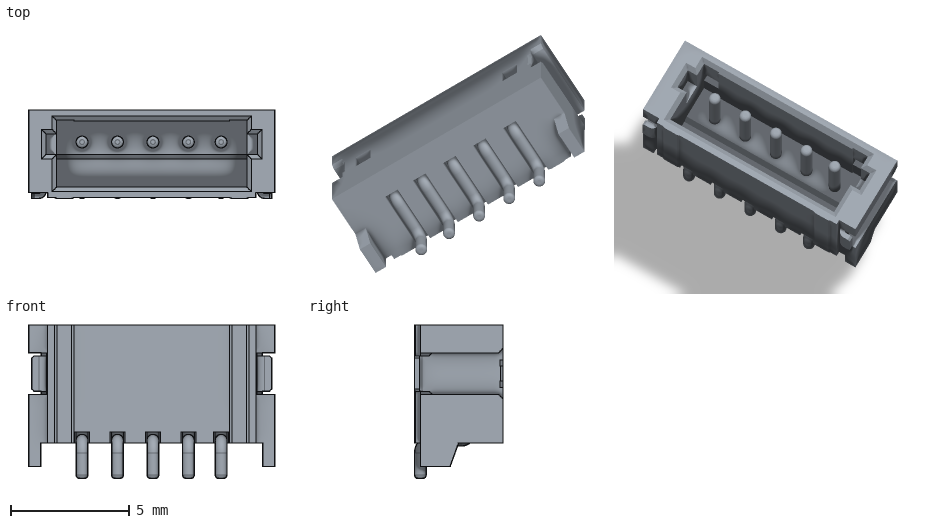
import cadquery as cq
import math


LENGTH = 10.42
HEIGHT = 5.0
WING_DEPTH = 3.5
WING_WIDTH = 0.8
FRONT_DEPTH = 3.71
PAD_DEPTH = 3.75
PAD_INSET = 1.09
PAD_WIDTH = 0.84
PAD_RAMP = 0.11

FOOT_WIDTH = 0.52
FOOT_HEIGHT = 1.0
FOOT_BACK = 1.88
FOOT_SLANT = 0.36

CAVITY_INSET = 1.19
CAVITY_BACK = 0.43
CAVITY_FRONT = 3.26
LEAD_IN = 0.2
BACK_RIM = 0.25
FLOOR = 1.0
FRONT_FLOOR = 0.8
FLOOR_STEP_DEPTH = 1.88

KEY_INSET = 0.74
KEY_BACK = 1.02
KEY_FRONT = 1.88
KEY_FLOOR = 3.1

BACK_RIB_INSET = 1.93
BACK_RIB_THICKNESS = 0.05

WINDOW_BOTTOM = 2.21
WINDOW_TOP = 3.25

BEVEL_BOTTOM = 2.36
BEVEL_TOP = 3.52
BEVEL_SIZE = 0.1
BEVEL_END_SIZE = 0.13
BEVEL_END_HEIGHT = 0.26

SLOT_BOTTOM = 2.06
SLOT_TOP = 3.82
SLOT_INSET = 0.53
SLOT_CHAMFER = 0.19
SLOT_FRONT_START = 3.0
TAB_INSET = 0.75
TAB_THICKNESS = TAB_INSET - SLOT_INSET
TAB_END = 0.13
TAB_FACE = 3.75
TAB_BEND_RADIUS = 0.32
TAB_SHOULDER = 0.13
TAB_CORNER = 0.1

PIN_COUNT = 5
PIN_PITCH = 1.5
FIRST_PIN_X = -2.95
LAST_PIN_X = 2.935
PIN_RADIUS = 0.25
PIN_DEPTH = 1.36
PIN_TOP = 4.27
TAIL_DEPTH = 3.5
TAIL_BOTTOM = -1.5
PIN_RUN_Z = 0.12
UPPER_BEND_RADIUS = 0.42
LOWER_BEND_RADIUS = 0.54
TIP_ROUND = 0.15

CHANNEL_WIDTH = 0.63
CHANNEL_HEIGHT = 0.47

HALF = LENGTH / 2
SLOT_MIDDLE = (SLOT_BOTTOM + SLOT_TOP) / 2
SLOT_HEIGHT = SLOT_TOP - SLOT_BOTTOM


def box(x_min, x_max, depth_min, depth_max, z_min, z_max):
    size = (x_max - x_min, depth_max - depth_min, z_max - z_min)
    return cq.Workplane("XY").box(*size, centered=False).translate((x_min, -depth_max, z_min))


def mirror_pair(left):
    return left.union(left.mirror("YZ"))


def shell_block():
    ramp_start = -HALF + PAD_INSET
    ramp_end = ramp_start + PAD_WIDTH
    left_edge = [
        (-HALF, 0),
        (-HALF, -WING_DEPTH),
        (-HALF + WING_WIDTH, -WING_DEPTH),
        (-HALF + WING_WIDTH, -FRONT_DEPTH),
        (ramp_start, -FRONT_DEPTH),
        (ramp_start + PAD_RAMP, -PAD_DEPTH),
        (ramp_end - PAD_RAMP, -PAD_DEPTH),
        (ramp_end, -FRONT_DEPTH),
    ]
    right_edge = [(-x, y) for x, y in reversed(left_edge)]
    return cq.Workplane("XY").polyline(left_edge + right_edge).close().extrude(HEIGHT)


def feet():
    side = [
        (-FOOT_BACK, 0),
        (-FOOT_BACK - FOOT_SLANT, -FOOT_HEIGHT),
        (-WING_DEPTH, -FOOT_HEIGHT),
        (-WING_DEPTH, 0),
    ]
    foot = cq.Workplane("YZ").polyline(side).close().extrude(FOOT_WIDTH)
    return mirror_pair(foot.translate((-HALF, 0, 0)))


def lead_in(inset, back, front):
    """Chamfered mouth of a rectangular opening."""
    width = LENGTH - 2 * inset
    depth = front - back
    return (
        cq.Workplane("XY", origin=(0, -(back + front) / 2, HEIGHT - LEAD_IN))
        .rect(width, depth)
        .workplane(offset=LEAD_IN)
        .rect(width + 2 * LEAD_IN, depth + 2 * LEAD_IN)
        .loft(ruled=True)
    )


def cavity():
    half_cavity = HALF - CAVITY_INSET
    half_key = HALF - KEY_INSET
    step = FLOOR - FRONT_FLOOR
    profile = [
        (-BACK_RIM, HEIGHT),
        (-CAVITY_BACK, HEIGHT + BACK_RIM - CAVITY_BACK),
        (-CAVITY_BACK, FLOOR),
        (-FLOOR_STEP_DEPTH, FLOOR),
        (-FLOOR_STEP_DEPTH - step, FRONT_FLOOR),
        (-CAVITY_FRONT, FRONT_FLOOR),
        (-CAVITY_FRONT, HEIGHT),
    ]
    room = cq.Workplane("YZ").polyline(profile).close().extrude(half_cavity, both=True)
    rib = back_rib()
    mouth = lead_in(CAVITY_INSET, BACK_RIM + LEAD_IN, CAVITY_FRONT)
    keys = box(-half_key, half_key, KEY_BACK, KEY_FRONT, KEY_FLOOR, HEIGHT)
    key_mouth = lead_in(KEY_INSET, KEY_BACK, KEY_FRONT)
    return room.cut(rib).union(mouth).union(keys).union(key_mouth)


def back_rib():
    """Thicker stretch of the back wall, its top continuing the lead-in slope."""
    slope_end = HEIGHT + BACK_RIM - CAVITY_BACK
    profile = [
        (-CAVITY_BACK, FLOOR),
        (-CAVITY_BACK, slope_end),
        (-CAVITY_BACK - BACK_RIB_THICKNESS, slope_end - BACK_RIB_THICKNESS),
        (-CAVITY_BACK - BACK_RIB_THICKNESS, FLOOR),
    ]
    return cq.Workplane("YZ").polyline(profile).close().extrude(HALF - BACK_RIB_INSET, both=True)


def back_windows():
    opening = box(
        -HALF + CAVITY_INSET, -HALF + BACK_RIB_INSET, 0, CAVITY_BACK, WINDOW_BOTTOM, WINDOW_TOP
    )
    return mirror_pair(opening)


def corner_bevel(size, z_min, z_max):
    corner_x = -HALF + SLOT_INSET
    return (
        cq.Workplane("XY", origin=(0, 0, z_min))
        .polyline([(corner_x, 0), (corner_x, -size), (corner_x + size, 0)])
        .close()
        .extrude(z_max - z_min)
    )


def back_bevels():
    """Short 45 degree bevels where the slot floors meet the back face, larger at both ends."""
    bevel = corner_bevel(BEVEL_SIZE, BEVEL_BOTTOM, BEVEL_TOP)
    for z_min in (BEVEL_BOTTOM, BEVEL_TOP - BEVEL_END_HEIGHT):
        bevel = bevel.union(corner_bevel(BEVEL_END_SIZE, z_min, z_min + BEVEL_END_HEIGHT))
    return mirror_pair(bevel)


def side_slots():
    profile = [
        (0, SLOT_BOTTOM - SLOT_CHAMFER),
        (-SLOT_CHAMFER, SLOT_BOTTOM),
        (-WING_DEPTH, SLOT_BOTTOM),
        (-WING_DEPTH, SLOT_TOP),
        (-SLOT_CHAMFER, SLOT_TOP),
        (0, SLOT_TOP + SLOT_CHAMFER),
    ]
    slot = cq.Workplane("YZ").polyline(profile).close().extrude(SLOT_INSET)
    slot = slot.translate((-HALF, 0, 0))
    front = box(
        -HALF, -HALF + TAB_INSET, SLOT_FRONT_START, WING_DEPTH, SLOT_BOTTOM, SLOT_TOP
    )
    return mirror_pair(slot.union(front))


def retention_tabs():
    """Strips lying in the side slots, bent outwards in front of the wings."""
    inner = -HALF + TAB_INSET
    outer = inner - TAB_THICKNESS
    bend_x = inner - TAB_BEND_RADIUS
    bend_y = -TAB_FACE + TAB_BEND_RADIUS
    inside_radius = TAB_BEND_RADIUS - TAB_THICKNESS
    diagonal = math.sqrt(0.5)
    end = -HALF + TAB_END
    strip = (
        cq.Workplane("XY", origin=(0, 0, SLOT_BOTTOM))
        .moveTo(inner, -SLOT_FRONT_START)
        .lineTo(inner, bend_y)
        .threePointArc(
            (bend_x + TAB_BEND_RADIUS * diagonal, bend_y - TAB_BEND_RADIUS * diagonal),
            (bend_x, -TAB_FACE),
        )
        .lineTo(end, -TAB_FACE)
        .lineTo(end, -TAB_FACE + TAB_THICKNESS)
        .lineTo(bend_x, -TAB_FACE + TAB_THICKNESS)
        .threePointArc(
            (bend_x + inside_radius * diagonal, bend_y - inside_radius * diagonal),
            (outer, bend_y),
        )
        .lineTo(outer, -SLOT_FRONT_START)
        .close()
        .extrude(SLOT_HEIGHT)
    )
    half_root = SLOT_HEIGHT / 2
    half_tab = half_root - TAB_SHOULDER
    upper_outline = [
        (-SLOT_FRONT_START, half_root),
        (-SLOT_FRONT_START - TAB_SHOULDER, half_tab),
        (-TAB_FACE, half_tab),
    ]
    lower_outline = [(y, -z) for y, z in reversed(upper_outline)]
    trim = (
        cq.Workplane("YZ", origin=(-HALF, 0, SLOT_MIDDLE))
        .polyline(upper_outline + lower_outline)
        .close()
        .extrude(TAB_INSET)
    )
    tab = strip.intersect(trim).edges("|Y and <X").chamfer(TAB_CORNER)
    return mirror_pair(tab)


def pin():
    """Round wire: post, bend under the housing, forward run and bent-down tail."""
    diagonal = math.sqrt(0.5)
    upper_y = -PIN_DEPTH - UPPER_BEND_RADIUS
    upper_z = PIN_RUN_Z + UPPER_BEND_RADIUS
    lower_y = -TAIL_DEPTH + LOWER_BEND_RADIUS
    lower_z = PIN_RUN_Z - LOWER_BEND_RADIUS
    path = (
        cq.Workplane("YZ")
        .moveTo(-PIN_DEPTH, PIN_TOP)
        .lineTo(-PIN_DEPTH, upper_z)
        .threePointArc(
            (upper_y + UPPER_BEND_RADIUS * diagonal, upper_z - UPPER_BEND_RADIUS * diagonal),
            (upper_y, PIN_RUN_Z),
        )
        .lineTo(lower_y, PIN_RUN_Z)
        .threePointArc(
            (lower_y - LOWER_BEND_RADIUS * diagonal, lower_z + LOWER_BEND_RADIUS * diagonal),
            (-TAIL_DEPTH, lower_z),
        )
        .lineTo(-TAIL_DEPTH, TAIL_BOTTOM)
    )
    wire = cq.Workplane("XY", origin=(0, -PIN_DEPTH, PIN_TOP)).circle(PIN_RADIUS).sweep(path)
    return wire.faces(">Z or <Z").edges().fillet(TIP_ROUND)


def pin_channel():
    return box(
        -CHANNEL_WIDTH / 2, CHANNEL_WIDTH / 2, PIN_DEPTH - PIN_RADIUS, PAD_DEPTH, 0, CHANNEL_HEIGHT
    )


pin_positions = [FIRST_PIN_X + PIN_PITCH * i for i in range(PIN_COUNT - 1)] + [LAST_PIN_X]

result = shell_block().union(feet()).cut(cavity()).cut(side_slots())
result = result.cut(back_windows()).cut(back_bevels()).union(retention_tabs())
for x in pin_positions:
    result = result.cut(pin_channel().translate((x, 0, 0)))
    result = result.union(pin().translate((x, 0, 0)))